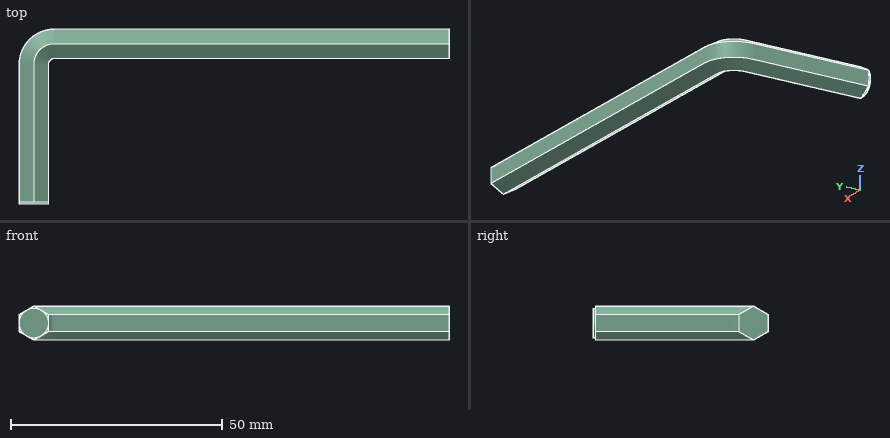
import cadquery as cq
import math

long_length = 102.0
short_length = 41.5
hex_sides = 6
across_flats = 7.0
across_corners = across_flats / math.cos(math.pi / hex_sides)

bend_radius = 4.9

tip_diameter = across_flats
tip_length = 0.5

half_flats = across_flats / 2
long_end_x = long_length - half_flats
hex_end_y = half_flats - short_length + tip_length


def make_bent_bar():
    """Hexagonal bar swept around the bend, with two of its corners pointing along Z."""
    arc_middle = bend_radius * (1 - math.sqrt(0.5))
    centreline = (
        cq.Workplane("XY")
        .moveTo(0, hex_end_y)
        .lineTo(0, -bend_radius)
        .threePointArc((arc_middle, -arc_middle), (bend_radius, 0))
        .lineTo(long_end_x, 0)
    )
    corner_up = (0, 0, 90)
    profile = (
        cq.Workplane("XZ", origin=(0, hex_end_y, 0))
        .transformed(rotate=corner_up)
        .polygon(hex_sides, across_corners)
    )
    return profile.sweep(centreline)


def make_tip():
    """Short round tip that continues the short arm in -Y."""
    return (
        cq.Workplane("XZ", origin=(0, hex_end_y, 0))
        .circle(tip_diameter / 2)
        .extrude(tip_length)
    )


result = make_bent_bar().union(make_tip())